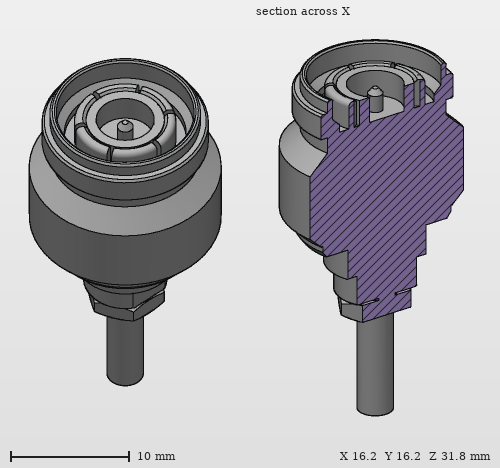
import cadquery as cq
import math

top_z = 31.75
collar_top_z = 30.55
collar_bottom_z = 28.15
neck_bottom_z = 26.73
grip_top_z = 25.02
grip_bottom_z = 19.05
rear_step_z = 17.97
rear_cone_z = 17.43
sleeve_top_z = 16.85
sleeve_bottom_z = 14.1
flats_bottom_z = 11.35
nut_top_z = 11.18
nut_bottom_z = 9.52

rim_radius = 6.35
collar_radius = 7.02
grip_radius = 8.1
rear_cone_large_radius = 6.95
rear_step_radius = 6.83
rear_cone_small_radius = 6.4
sleeve_radius = 4.38
flats_radius = 3.52
nut_stem_radius = 1.9
cable_radius = 1.55
edge_chamfer = 0.2
collar_lower_chamfer = 0.1
flats_edge_chamfer = 0.1

socket_radius = 5.8
socket_edge_chamfer = 0.15
seat_radius = 5.15
seat_top_z = 29.75
seat_bottom_z = seat_top_z - (socket_radius - seat_radius)
floor_z = 28.4

ring_outer_radius = 4.3
ring_round = 0.45
ring_top_z = 30.9
ring_inner_chamfer = 0.3
slot_width = 0.4
slot_count = 6

insulator_radius = 3.3
insulator_bore_radius = 2.45
insulator_top_z = 30.75
pin_radius = 0.67
pin_tip_radius = 0.25
pin_shoulder_z = 29.9
pin_top_z = 30.42

nut_sides = 6
across_flats = 6.03
across_corners = across_flats / math.cos(math.pi / nut_sides)
nut_corner_drop = 0.3
nut_face_radius = 2.95


def cylinder(radius, start_z, end_z):
    return cq.Workplane("XY").workplane(offset=start_z).circle(radius).extrude(end_z - start_z)


def revolved(profile):
    """Turn a closed profile in the XZ plane about the Z axis."""
    return profile.close().revolve(360, (0, 0, 0), (0, 1, 0))


def make_shell():
    """Stepped outer body, from the rear sleeve up to the rim."""
    outline = [
        (0, sleeve_bottom_z),
        (sleeve_radius, sleeve_bottom_z),
        (sleeve_radius, sleeve_top_z),
        (rear_cone_small_radius, sleeve_top_z),
        (rear_step_radius, rear_cone_z),
        (rear_step_radius, rear_step_z),
        (rear_cone_large_radius, rear_step_z),
        (grip_radius, grip_bottom_z),
        (grip_radius, grip_top_z),
        (rim_radius, neck_bottom_z),
        (rim_radius, collar_bottom_z),
        (collar_radius - collar_lower_chamfer, collar_bottom_z),
        (collar_radius, collar_bottom_z + collar_lower_chamfer),
        (collar_radius, collar_top_z - edge_chamfer),
        (collar_radius - edge_chamfer, collar_top_z),
        (rim_radius, collar_top_z),
        (rim_radius, top_z - edge_chamfer),
        (rim_radius - edge_chamfer, top_z),
        (0, top_z),
    ]
    return revolved(cq.Workplane("XZ").polyline(outline))


def make_socket():
    """Stepped bore with a conical seat, to be cut from the shell."""
    outline = [
        (0, floor_z),
        (seat_radius, floor_z),
        (seat_radius, seat_bottom_z),
        (socket_radius, seat_top_z),
        (socket_radius, top_z - socket_edge_chamfer),
        (socket_radius + socket_edge_chamfer, top_z),
        (0, top_z),
    ]
    return revolved(cq.Workplane("XZ").polyline(outline))


def make_contact_ring():
    """Ring with a rounded outer lip and a chamfered mouth, split by radial slots."""
    ring = revolved(
        cq.Workplane("XZ")
        .moveTo(insulator_radius, floor_z)
        .lineTo(ring_outer_radius, floor_z)
        .lineTo(ring_outer_radius, ring_top_z - ring_round)
        .radiusArc((ring_outer_radius - ring_round, ring_top_z), -ring_round)
        .lineTo(insulator_radius + ring_inner_chamfer, ring_top_z)
        .lineTo(insulator_radius, ring_top_z - ring_inner_chamfer)
    )
    slots = (
        cq.Workplane("XY")
        .workplane(offset=floor_z)
        .polarArray(ring_outer_radius, 0, 360, slot_count)
        .rect(2 * ring_outer_radius, slot_width)
        .extrude(ring_top_z - floor_z)
    )
    return ring.cut(slots)


def make_insulator():
    tube = cylinder(insulator_radius, floor_z, insulator_top_z)
    return tube.cut(cylinder(insulator_bore_radius, floor_z, insulator_top_z))


def make_pin():
    outline = [
        (0, floor_z),
        (pin_radius, floor_z),
        (pin_radius, pin_shoulder_z),
        (pin_tip_radius, pin_top_z),
        (0, pin_top_z),
    ]
    return revolved(cq.Workplane("XZ").polyline(outline))


def make_wrench_section():
    """Round section with two flats facing -X and +X."""
    section = cylinder(flats_radius, flats_bottom_z, sleeve_bottom_z).faces("<Z").chamfer(flats_edge_chamfer)
    slab = cq.Workplane("XY").workplane(offset=flats_bottom_z).rect(across_flats, 2 * flats_radius)
    return section.intersect(slab.extrude(sleeve_bottom_z - flats_bottom_z))


def make_nut():
    """Hexagon with corners on the Y axis, its corners bevelled at both ends."""
    height = nut_top_z - nut_bottom_z
    hexagon = (
        cq.Workplane("XY")
        .workplane(offset=nut_bottom_z)
        .transformed(rotate=(0, 0, 90))
        .polygon(nut_sides, across_corners)
        .extrude(height)
    )
    bevel_width = across_corners / 2 - nut_face_radius
    bevelled = (
        cylinder(across_corners / 2, nut_bottom_z, nut_top_z)
        .faces("<Z or >Z")
        .edges()
        .chamfer(nut_corner_drop, bevel_width)
    )
    return hexagon.intersect(bevelled)


result = (
    make_shell()
    .cut(make_socket())
    .union(make_insulator())
    .union(make_contact_ring())
    .union(make_pin())
    .union(make_wrench_section())
    .union(cylinder(nut_stem_radius, nut_bottom_z, sleeve_bottom_z))
    .union(make_nut())
    .union(cylinder(cable_radius, 0, sleeve_bottom_z))
)